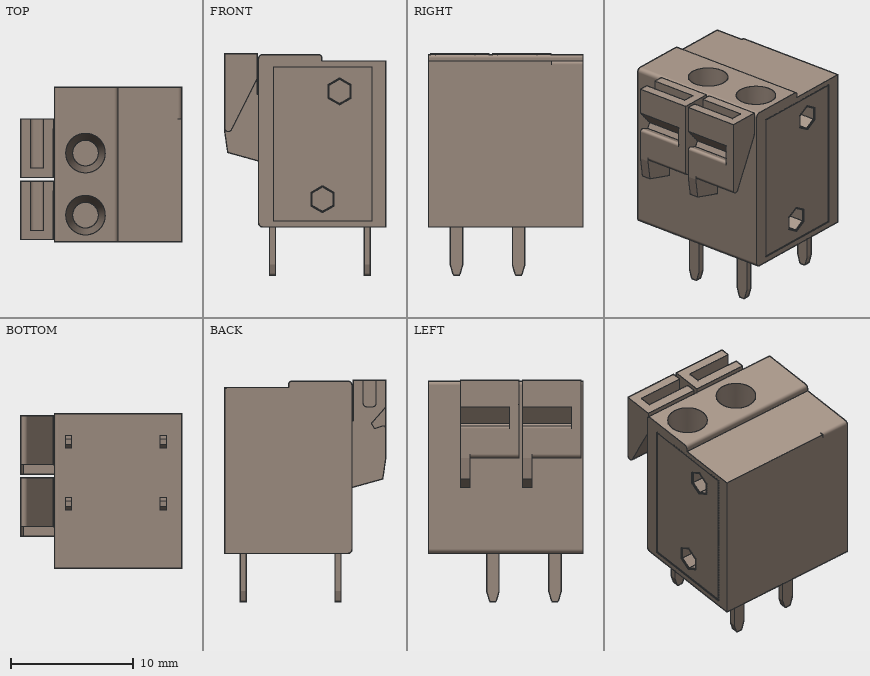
import cadquery as cq
import math


BODY_LENGTH = 10.43
BODY_WIDTH = 12.66
BODY_HEIGHT = 14.12
EDGE_RADIUS = 0.35
SHELF_X = 5.2
SHELF_HEIGHT = 13.6
SHELF_EDGE_RADIUS = 0.3
END_LID_WIDTH = 2.6
END_LID_RADIUS = 0.3

POLE_PITCH = 5.08
POLE_COUNT = 2

FUNNEL_X = 2.54
FIRST_FUNNEL_Y = 2.18
FUNNEL_TOP_RADIUS = 1.62
FUNNEL_BOTTOM_RADIUS = 1.05
FUNNEL_DEPTH = 8.0

PANEL_X_MIN = 1.22
PANEL_X_MAX = 9.29
PANEL_Z_MIN = 0.48
PANEL_Z_MAX = 13.1
PANEL_DEPTH = 0.1
SOCKET_CENTERS = [(6.64, 11.1), (5.24, 2.28)]
SOCKET_MOUTH_DIAMETER = 2.2
SOCKET_BORE_DIAMETER = 2.0
SOCKET_LEDGE_DEPTH = 0.1
SOCKET_DEPTH = 1.5

LEVER_REACH = 2.77
LEVER_WIDTH = 4.8
LEVER_TOP = 14.2
LEVER_GAP = 0.08
LEVER_GAP_BOTTOM = 10.85
FIRST_LEVER_Y = 0.17
LEVER_END_WALL = 0.77
WEDGE_BACK_Z = 12.2
WEDGE_TOE_Z = 6.85
WEDGE_TOE_RADIUS = 0.3
FIN_WIDTH = 0.8
FIN_SLOPE_TOP = 7.8
FIN_TOE_INSET = 0.25
FIN_TOE_Z = 6.1
FIN_ROOT_Z = 5.4

SLOT_X_MIN = -1.96
SLOT_X_MAX = -0.91
SLOT_DEPTH = 2.2
SLOT_FLOOR_RADIUS = 0.3
NOTCH_TOP_Z = 12.0
NOTCH_TIP = (-1.58, 10.65)
NOTCH_GROOVE = (-1.85, 10.22)
NOTCH_LIP_Z = 10.54
NOTCH_LIP_RADIUS = 0.22

PIN_X_CENTERS = [1.15, 8.9]
PIN_THICKNESS = 0.52
PIN_WIDTH = 1.03
PIN_LENGTH = 3.95
PIN_TAPER_LENGTH = 0.85
PIN_TAPER_END_WIDTH = 0.6
PIN_TIP_WIDTH = 0.45
PIN_TIP_CHAMFER_HEIGHT = 0.12
FIRST_PIN_Y = 2.3


def pole_offsets():
    return [pole * POLE_PITCH for pole in range(POLE_COUNT)]


def extrude_along_y(sketch, y_start, width):
    """Extrude an XZ outline towards +Y, starting at y_start."""
    return sketch.extrude(-width).translate((0, y_start, 0))


def make_housing():
    outline = (
        cq.Workplane("XZ")
        .moveTo(0, 0)
        .lineTo(BODY_LENGTH, 0)
        .lineTo(BODY_LENGTH, SHELF_HEIGHT)
        .lineTo(SHELF_X, SHELF_HEIGHT)
        .lineTo(SHELF_X, BODY_HEIGHT)
        .lineTo(0, BODY_HEIGHT)
        .close()
    )
    body = extrude_along_y(outline, 0, BODY_WIDTH)
    body = body.edges("|Y").edges("<X").fillet(EDGE_RADIUS)
    shelf_edge = cq.selectors.NearestToPointSelector((SHELF_X, BODY_WIDTH / 2, BODY_HEIGHT))
    return body.edges(shelf_edge).fillet(SHELF_EDGE_RADIUS)


def make_lid_edge_cut():
    """Material outside the rounded upper edge of the lid at the far end."""
    outline = (
        cq.Workplane("XZ")
        .moveTo(BODY_LENGTH, SHELF_HEIGHT - END_LID_RADIUS)
        .radiusArc((BODY_LENGTH - END_LID_RADIUS, SHELF_HEIGHT), -END_LID_RADIUS)
        .lineTo(BODY_LENGTH, SHELF_HEIGHT)
        .close()
    )
    return extrude_along_y(outline, BODY_WIDTH - END_LID_WIDTH, END_LID_WIDTH)


def make_funnel(y_center):
    """Tapered hole with a flat floor, revolved about its vertical axis."""
    return (
        cq.Workplane("YZ", origin=(FUNNEL_X, y_center, BODY_HEIGHT))
        .lineTo(FUNNEL_TOP_RADIUS, 0)
        .lineTo(FUNNEL_BOTTOM_RADIUS, -FUNNEL_DEPTH)
        .lineTo(0, -FUNNEL_DEPTH)
        .close()
        .revolve(360, (0, 0, 0), (0, 1, 0))
    )


def make_panel_recess():
    width = PANEL_X_MAX - PANEL_X_MIN
    height = PANEL_Z_MAX - PANEL_Z_MIN
    outline = cq.Workplane("XZ").moveTo(PANEL_X_MIN, PANEL_Z_MIN).rect(width, height, centered=False)
    return extrude_along_y(outline, 0, PANEL_DEPTH)


def make_hexagonal_hole(x_center, z_center, diameter, depth):
    """Hexagonal hole in the panel, with two corners pointing along Z."""
    return (
        cq.Workplane("XZ", origin=(x_center, PANEL_DEPTH, z_center))
        .transformed(rotate=(0, 0, 90))
        .polygon(6, diameter)
        .extrude(-depth)
    )


def make_socket(x_center, z_center):
    mouth = make_hexagonal_hole(x_center, z_center, SOCKET_MOUTH_DIAMETER, SOCKET_LEDGE_DEPTH)
    bore = make_hexagonal_hole(x_center, z_center, SOCKET_BORE_DIAMETER, SOCKET_DEPTH)
    return mouth.union(bore)


def make_lever_wedge():
    outline = (
        cq.Workplane("XZ")
        .moveTo(-LEVER_REACH, LEVER_TOP)
        .lineTo(-LEVER_REACH, WEDGE_TOE_Z)
        .lineTo(-LEVER_GAP, WEDGE_BACK_Z)
        .lineTo(-LEVER_GAP, LEVER_TOP)
        .close()
    )
    wedge = extrude_along_y(outline, 0, LEVER_WIDTH)
    return wedge.edges("|Y").edges("<Z").fillet(WEDGE_TOE_RADIUS)


def make_lever_fin():
    outline = (
        cq.Workplane("XZ")
        .moveTo(-LEVER_REACH, LEVER_TOP)
        .lineTo(-LEVER_REACH, FIN_SLOPE_TOP)
        .lineTo(FIN_TOE_INSET - LEVER_REACH, FIN_TOE_Z)
        .lineTo(0, FIN_ROOT_Z)
        .lineTo(0, LEVER_GAP_BOTTOM)
        .lineTo(-LEVER_GAP, LEVER_GAP_BOTTOM)
        .lineTo(-LEVER_GAP, LEVER_TOP)
        .close()
    )
    return extrude_along_y(outline, LEVER_WIDTH - FIN_WIDTH, FIN_WIDTH)


def make_lever_slot():
    """Blind slot in the lever top, open at its +Y side."""
    length = LEVER_WIDTH - LEVER_END_WALL
    slot = cq.Workplane("XY").box(SLOT_X_MAX - SLOT_X_MIN, length, SLOT_DEPTH, centered=False)
    slot = slot.edges("|Y").edges("<Z").fillet(SLOT_FLOOR_RADIUS)
    return slot.translate((SLOT_X_MIN, LEVER_END_WALL, LEVER_TOP - SLOT_DEPTH))


def make_lever_notch():
    """Fingernail notch in the lever front with a rounded lower lip, open at its +Y side."""
    front = -LEVER_REACH
    lip_slope = math.atan2(NOTCH_LIP_Z - NOTCH_GROOVE[1], NOTCH_GROOVE[0] - front)
    tangent_length = NOTCH_LIP_RADIUS * math.tan((math.pi / 2 + lip_slope) / 2)
    lip_inner = (
        front + tangent_length * math.cos(lip_slope),
        NOTCH_LIP_Z - tangent_length * math.sin(lip_slope),
    )
    lip_outer = (front, NOTCH_LIP_Z - tangent_length)
    outline = (
        cq.Workplane("XZ")
        .moveTo(front, NOTCH_TOP_Z)
        .lineTo(*NOTCH_TIP)
        .lineTo(*NOTCH_GROOVE)
        .lineTo(*lip_inner)
        .radiusArc(lip_outer, -NOTCH_LIP_RADIUS)
        .close()
    )
    return extrude_along_y(outline, LEVER_END_WALL, LEVER_WIDTH - LEVER_END_WALL)


def make_lever(y_start):
    lever = make_lever_wedge().union(make_lever_fin())
    lever = lever.cut(make_lever_slot()).cut(make_lever_notch())
    return lever.translate((0, y_start, 0))


def make_pin(x_center, y_center):
    half_width = PIN_WIDTH / 2
    half_taper_end = PIN_TAPER_END_WIDTH / 2
    half_tip = PIN_TIP_WIDTH / 2
    taper_z = PIN_TAPER_LENGTH - PIN_LENGTH
    chamfer_z = PIN_TIP_CHAMFER_HEIGHT - PIN_LENGTH
    return (
        cq.Workplane("YZ", origin=(x_center - PIN_THICKNESS / 2, y_center, 0))
        .moveTo(-half_width, 0)
        .lineTo(-half_width, taper_z)
        .lineTo(-half_taper_end, chamfer_z)
        .lineTo(-half_tip, -PIN_LENGTH)
        .lineTo(half_tip, -PIN_LENGTH)
        .lineTo(half_taper_end, chamfer_z)
        .lineTo(half_width, taper_z)
        .lineTo(half_width, 0)
        .close()
        .extrude(PIN_THICKNESS)
    )


result = make_housing().cut(make_lid_edge_cut()).cut(make_panel_recess())
for socket_x, socket_z in SOCKET_CENTERS:
    result = result.cut(make_socket(socket_x, socket_z))
for offset in pole_offsets():
    result = result.cut(make_funnel(FIRST_FUNNEL_Y + offset))
    result = result.union(make_lever(FIRST_LEVER_Y + offset))
    for pin_x in PIN_X_CENTERS:
        result = result.union(make_pin(pin_x, FIRST_PIN_Y + offset))